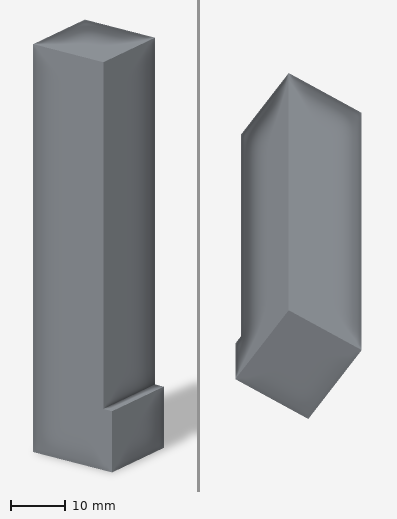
import cadquery as cq

shank_width = 16.0
shank_depth = 16.0
height = 80.0
foot_overhang = 2.0
foot_height = 12.0

foot_width = shank_width + foot_overhang


def make_block(width, block_height):
    """Block standing on Z = 0 with its corner at the origin."""
    return cq.Workplane("XY").box(width, shank_depth, block_height, centered=False)


shank = make_block(shank_width, height)
foot = make_block(foot_width, foot_height)

result = shank.union(foot)